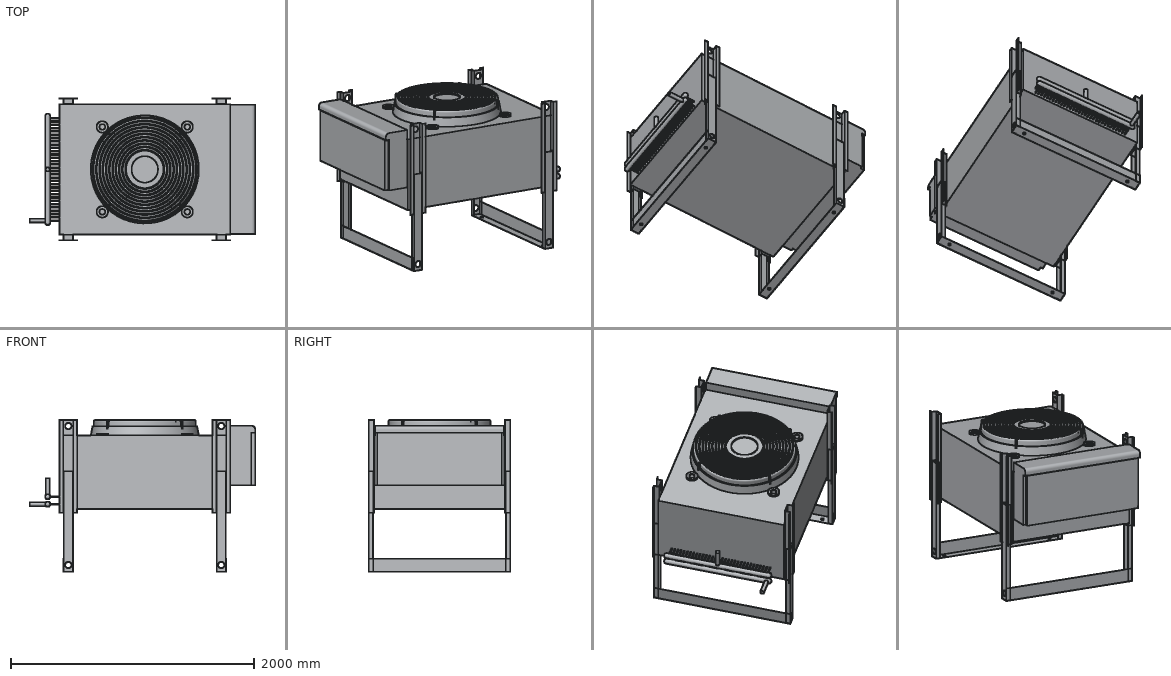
import cadquery as cq

TOTAL_LENGTH = 1854.2
TOTAL_WIDTH = 1165.22
TOTAL_HEIGHT = 1247.9
SHEET = 2.0

CASING_LENGTH = 1405.0
CASING_WIDTH = 1073.0
CASING_BOTTOM = 516.0
CASING_TOP = 1121.0
MID_X = CASING_LENGTH / 2

RAIL_WIDTH = 146.0
RAIL_LIP = 31.0
RAIL_BOTTOM = 485.0
CHANNEL_START = RAIL_LIP + SHEET
CHANNEL_END = RAIL_WIDTH - CHANNEL_START

LEG_TOP = 828.0
LEG_WIDTH = 78.0
LEG_DEPTH = 37.0
LEG_END_X = CHANNEL_END
LEG_START_X = LEG_END_X - LEG_WIDTH
CROSSBAR_HEIGHT = 109.0
MOUNT_HOLE_DIAMETER = 50.0
MOUNT_HOLE_X = LEG_START_X + LEG_WIDTH / 2
LOW_HOLE_Z = 56.0
HIGH_HOLE_Z = 1198.0
FOOT_HOLE_RADIUS = 11.0
FOOT_HOLE_INSET = 97.0

CABINET_WIDTH = 1063.0
CABINET_BOTTOM = 710.0
CABINET_TOP = 1201.0
CABINET_LENGTH = 206.0
HOOD_DEPTH = 33.0
HOOD_HEIGHT = 60.0
HOOD_TOP_RADIUS = 30.0
HOOD_LIP_RADIUS = 8.0
DOOR_INSET = 20.0

RING_BOTTOM_RADIUS = 445.0
RING_TOP_RADIUS = 431.0
RING_TOP = 1195.0
GUARD_RADIUS = 421.0
GUARD_EDGE_RADIUS = 15.0
GROOVE_COUNT = 10
GROOVE_FIRST_RADIUS = 158.0
GROOVE_PITCH = 26.7
GROOVE_WIDTH = 8.5
GROOVE_DEPTH = 10.0
HUB_RADIUS = 109.0
HUB_DEPTH = 10.0
SPOKE_WIDTH = 10.0
SPOKE_RADIUS = 435.0
SPOKE_BOTTOM = 1174.0
SPOKE_ANGLES = (45, 135, 225, 315)

PAD_OFFSET = 349.0
PAD_RADIUS = 47.0
PAD_HEIGHT = 14.0
PAD_HOLE_RADIUS = 23.5
PAD_HOLE_DEPTH = 10.0

HEADER_X = -95.0
HEADER_RADIUS = 22.0
HEADER_LENGTH = 918.0
UPPER_HEADER_Z = 617.0
LOWER_HEADER_Z = 555.5
TUBE_COUNT = 32
TUBE_PITCH = 27.15
TUBE_RADIUS = 4.5
PORT_RADIUS = 17.0
INLET_TOP = 769.0
OUTLET_Y = -421.0
OUTLET_END_X = CASING_LENGTH + CABINET_LENGTH - TOTAL_LENGTH


def block(x_range, y_range, z_range):
    """Box between the two limits given for each axis."""
    size = [end - start for start, end in (x_range, y_range, z_range)]
    corner = (x_range[0], y_range[0], z_range[0])
    return cq.Workplane("XY").box(*size, centered=False).translate(corner)


def cylinder(start, direction, radius, length):
    return cq.Workplane(cq.Solid.makeCylinder(radius, length, cq.Vector(*start), cq.Vector(*direction)))


def mount_hole(z):
    """Cutter across the full width for one pair of mounting holes."""
    start = (MOUNT_HOLE_X, -TOTAL_WIDTH / 2, z)
    return cylinder(start, (0, 1, 0), MOUNT_HOLE_DIAMETER / 2, TOTAL_WIDTH)


def both_sides(shape):
    return shape.union(shape.mirror("XZ"))


def both_ends(shape):
    return shape.union(shape.mirror("YZ", (MID_X, 0, 0)))


def make_casing():
    half_width = CASING_WIDTH / 2
    return block((0, CASING_LENGTH), (-half_width, half_width), (CASING_BOTTOM, CASING_TOP))


def make_rails():
    """Four hat sections whose bases lie on the casing and whose lips face outward."""
    inner_y = CASING_WIDTH / 2
    outer_y = TOTAL_WIDTH / 2
    rail = (
        cq.Workplane("XY", origin=(0, 0, RAIL_BOTTOM))
        .polyline(
            [
                (0, outer_y),
                (CHANNEL_START, outer_y),
                (CHANNEL_START, inner_y + SHEET),
                (CHANNEL_END, inner_y + SHEET),
                (CHANNEL_END, outer_y),
                (RAIL_WIDTH, outer_y),
                (RAIL_WIDTH, outer_y - SHEET),
                (CHANNEL_END + SHEET, outer_y - SHEET),
                (CHANNEL_END + SHEET, inner_y),
                (RAIL_LIP, inner_y),
                (RAIL_LIP, outer_y - SHEET),
                (0, outer_y - SHEET),
            ]
        )
        .close()
        .extrude(TOTAL_HEIGHT - RAIL_BOTTOM)
        .cut(mount_hole(HIGH_HOLE_Z))
    )
    return both_ends(both_sides(rail))


def make_cabinet():
    """Cabinet on the +X end with a rounded hood over an inset door."""
    half_width = CABINET_WIDTH / 2
    end_x = CASING_LENGTH + CABINET_LENGTH
    hood_x = end_x - HOOD_DEPTH
    hood_bottom = CABINET_TOP - HOOD_HEIGHT
    door_half_width = half_width - DOOR_INSET

    body = block((CASING_LENGTH, hood_x), (-half_width, half_width), (CABINET_BOTTOM, CABINET_TOP))
    hood = block((hood_x, end_x), (-half_width, half_width), (hood_bottom, CABINET_TOP))
    hood = hood.edges(">X and >Z").fillet(HOOD_TOP_RADIUS)
    hood = hood.edges(">X and <Z").fillet(HOOD_LIP_RADIUS)
    door = block((hood_x, end_x), (-door_half_width, door_half_width), (CABINET_BOTTOM, hood_bottom))
    return body.union(hood).union(door)


def make_fan():
    """Tapered fan ring carrying a grooved guard with four spokes."""
    profile = (
        cq.Workplane("XZ")
        .moveTo(0, CASING_TOP)
        .lineTo(RING_BOTTOM_RADIUS, CASING_TOP)
        .lineTo(RING_TOP_RADIUS, RING_TOP)
        .lineTo(GUARD_RADIUS, RING_TOP)
        .lineTo(GUARD_RADIUS, TOTAL_HEIGHT - GUARD_EDGE_RADIUS)
        .radiusArc((GUARD_RADIUS - GUARD_EDGE_RADIUS, TOTAL_HEIGHT), -GUARD_EDGE_RADIUS)
        .lineTo(0, TOTAL_HEIGHT)
        .close()
    )
    fan = profile.revolve(360, (0, 0), (0, 1))

    groove_floor = cq.Workplane("XY", origin=(0, 0, TOTAL_HEIGHT - GROOVE_DEPTH))
    for index in range(GROOVE_COUNT):
        middle = GROOVE_FIRST_RADIUS + index * GROOVE_PITCH
        groove = groove_floor.circle(middle + GROOVE_WIDTH / 2).circle(middle - GROOVE_WIDTH / 2)
        fan = fan.cut(groove.extrude(GROOVE_DEPTH))

    spoke = block(
        (GROOVE_FIRST_RADIUS - GROOVE_WIDTH, SPOKE_RADIUS),
        (-SPOKE_WIDTH / 2, SPOKE_WIDTH / 2),
        (SPOKE_BOTTOM, TOTAL_HEIGHT),
    )
    spoke = spoke.edges(">X and >Z").fillet(GUARD_EDGE_RADIUS)
    for angle in SPOKE_ANGLES:
        fan = fan.union(spoke.rotate((0, 0, 0), (0, 0, 1), angle))

    hub_recess = cylinder((0, 0, TOTAL_HEIGHT - HUB_DEPTH), (0, 0, 1), HUB_RADIUS, HUB_DEPTH)
    return fan.cut(hub_recess).translate((MID_X, 0, 0))


def make_pads():
    """Four round pads on the casing roof, each with a blind hole."""
    hole_floor = PAD_HEIGHT - PAD_HOLE_DEPTH
    pad = cylinder((0, 0, 0), (0, 0, 1), PAD_RADIUS, PAD_HEIGHT)
    pad = pad.cut(cylinder((0, 0, hole_floor), (0, 0, 1), PAD_HOLE_RADIUS, PAD_HOLE_DEPTH))
    pad = pad.translate((MID_X + PAD_OFFSET, PAD_OFFSET, CASING_TOP))
    return both_ends(both_sides(pad))


def make_header(z):
    """Round-ended header pipe with its row of thin tubes into the casing."""
    straight = HEADER_LENGTH - 2 * HEADER_RADIUS
    header = cylinder((HEADER_X, -straight / 2, z), (0, 1, 0), HEADER_RADIUS, straight)
    for side in (-1, 1):
        dome = cq.Workplane("XY").sphere(HEADER_RADIUS)
        header = header.union(dome.translate((HEADER_X, side * straight / 2, z)))
    for index in range(TUBE_COUNT):
        y = (index - (TUBE_COUNT - 1) / 2) * TUBE_PITCH
        header = header.union(cylinder((HEADER_X, y, z), (1, 0, 0), TUBE_RADIUS, -HEADER_X))
    return header


def make_pipework():
    inlet = cylinder((HEADER_X, 0, UPPER_HEADER_Z), (0, 0, 1), PORT_RADIUS, INLET_TOP - UPPER_HEADER_Z)
    outlet_length = HEADER_X - OUTLET_END_X
    outlet = cylinder((HEADER_X, OUTLET_Y, LOWER_HEADER_Z), (-1, 0, 0), PORT_RADIUS, outlet_length)
    upper = make_header(UPPER_HEADER_Z).union(inlet)
    lower = make_header(LOWER_HEADER_Z).union(outlet)
    return upper.union(lower)


def make_cooler():
    """The whole cooler unit: casing with everything that is fixed to it."""
    cooler = make_casing()
    for piece in (make_rails(), make_cabinet(), make_fan(), make_pads(), make_pipework()):
        cooler = cooler.union(piece)
    return cooler


def make_leg_frame():
    """U-shaped frame for the -X end: two channel legs on an angle crossbar."""
    outer_y = TOTAL_WIDTH / 2
    bar_x = LEG_START_X - SHEET

    channel = block((LEG_START_X, LEG_END_X), (outer_y - LEG_DEPTH, outer_y), (0, LEG_TOP))
    hollow = block(
        (LEG_START_X + SHEET, LEG_END_X - SHEET),
        (outer_y - LEG_DEPTH, outer_y - SHEET),
        (0, LEG_TOP),
    )
    legs = both_sides(channel.cut(hollow))

    bar_plate = block((bar_x, LEG_START_X), (-outer_y, outer_y), (0, CROSSBAR_HEIGHT))
    bar_foot = block((bar_x, LEG_END_X), (-outer_y, outer_y), (0, SHEET))
    hole_y = outer_y - FOOT_HOLE_INSET
    foot_hole = cylinder((MOUNT_HOLE_X, hole_y, 0), (0, 0, 1), FOOT_HOLE_RADIUS, SHEET)
    bar = bar_plate.union(bar_foot).cut(both_sides(foot_hole))
    return legs.union(bar).cut(mount_hole(LOW_HOLE_Z))


cooler = make_cooler()
leg_frame = make_leg_frame()
leg_frames = [leg_frame, leg_frame.mirror("YZ", (MID_X, 0, 0))]

result = cq.Compound.makeCompound([cooler.val(), *[frame.val() for frame in leg_frames]])